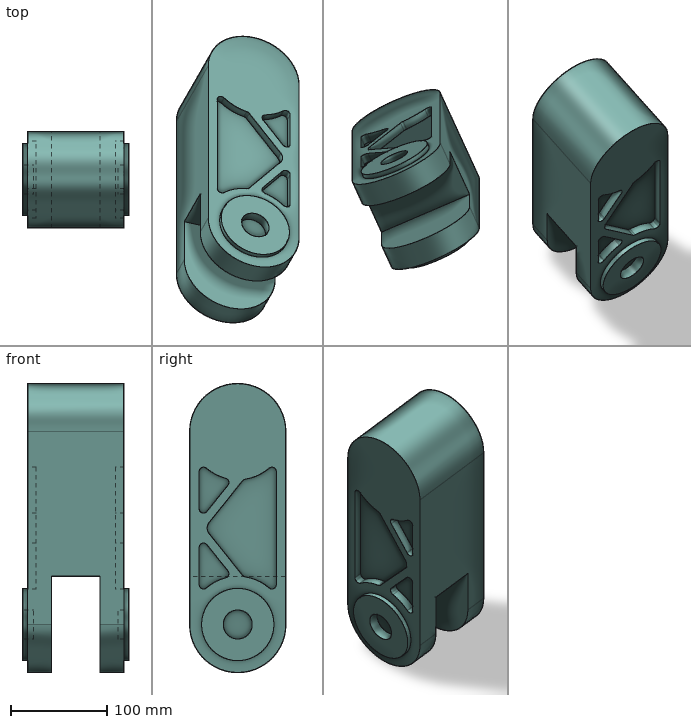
import cadquery as cq
import math

LENGTH = 300.0
WIDTH = LENGTH / 3
END_RADIUS = WIDTH / 2
PIN_Z = END_RADIUS
MID_Z = LENGTH / 2

SLOT_WIDTH = WIDTH / 2
SLOT_HEIGHT = WIDTH

BOSS_RADIUS = 37.5
BOSS_HEIGHT = WIDTH / 20
HOLE_RADIUS = 15.0
HOLE_DEPTH = 11.0

POCKET_DEPTH = 9.0
POCKET_WIDTH = 0.8 * WIDTH
POCKET_FILLET = 4.5
APEX_FILLET = 9.0
END_CLEARANCE_RADIUS = END_RADIUS
RIB_WIDTH = 9.0

SIDE_X = WIDTH / 2
BOSS_FACE_X = SIDE_X + BOSS_HEIGHT


def make_body():
    """Round-ended bar with a slot across its lower end."""
    bar = (
        cq.Workplane("YZ", origin=(-SIDE_X, 0, MID_Z))
        .slot2D(LENGTH, WIDTH, 90)
        .extrude(WIDTH)
    )
    slot = cq.Workplane("XY").rect(SLOT_WIDTH, WIDTH).extrude(SLOT_HEIGHT)
    return bar.cut(slot)


def disc(start_x, z, radius, thickness):
    """Cylinder along +X, starting at start_x and centred at height z."""
    return cq.Workplane("YZ", origin=(start_x, 0, z)).circle(radius).extrude(thickness)


def make_rib(direction):
    """Diagonal rib from the middle of the -Y pocket edge; direction is +1 up, -1 down."""
    run = POCKET_WIDTH
    rise = MID_Z - PIN_Z
    angle = direction * math.degrees(math.atan2(rise, run))
    return (
        cq.Workplane("YZ", origin=(SIDE_X - POCKET_DEPTH, -POCKET_WIDTH / 2, MID_Z))
        .transformed(rotate=(0, 0, angle))
        .rect(2 * math.hypot(run, rise), RIB_WIDTH)
        .extrude(POCKET_DEPTH)
    )


def make_pockets():
    """Three rounded pocket volumes in the +X side."""
    floor_x = SIDE_X - POCKET_DEPTH
    pockets = (
        cq.Workplane("YZ", origin=(floor_x, 0, MID_Z))
        .rect(POCKET_WIDTH, LENGTH - 2 * PIN_Z)
        .extrude(POCKET_DEPTH)
    )
    for end_z in (PIN_Z, LENGTH - PIN_Z):
        pockets = pockets.cut(disc(floor_x, end_z, END_CLEARANCE_RADIUS, POCKET_DEPTH))
    for direction in (1, -1):
        pockets = pockets.cut(make_rib(direction))
    apex = cq.NearestToPointSelector((SIDE_X - POCKET_DEPTH / 2, -POCKET_WIDTH / 2, MID_Z))
    corners = cq.selectors.ParallelDirSelector(cq.Vector(1, 0, 0))
    pockets = pockets.edges(corners - apex).fillet(POCKET_FILLET)
    return pockets.edges(apex).fillet(APEX_FILLET)


boss = disc(SIDE_X, PIN_Z, BOSS_RADIUS, BOSS_HEIGHT)
hole = disc(BOSS_FACE_X - HOLE_DEPTH, PIN_Z, HOLE_RADIUS, HOLE_DEPTH)
pockets = make_pockets()

result = make_body()
for feature in (boss, boss.mirror("YZ")):
    result = result.union(feature)
for feature in (hole, pockets):
    result = result.cut(feature).cut(feature.mirror("YZ"))